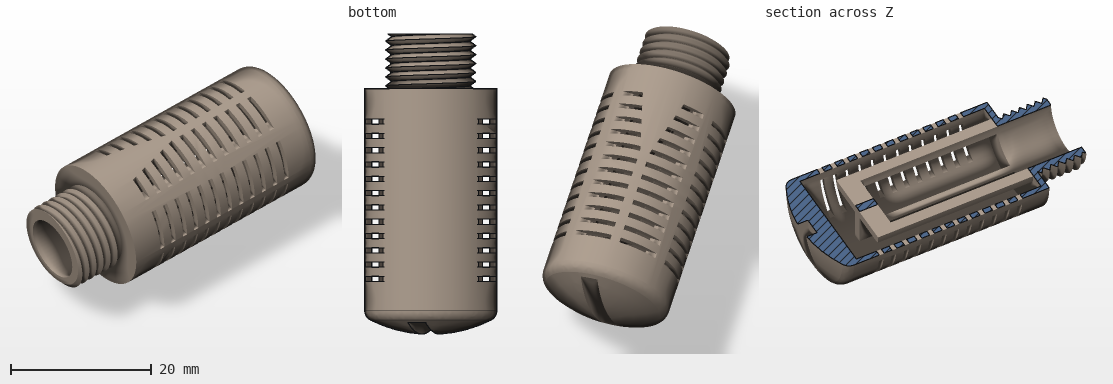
import cadquery as cq
import math

total_length = 42.65
body_diameter = 18.8
wall = 0.95
body_radius = body_diameter / 2
chamber_radius = body_radius - wall

body_start = 7.75
chamber_start = body_start + wall
chamber_end = 38.38

dome_radius = 18.97
dome_edge_fillet = 1.58
driver_slot_width = 2.55
dome_top = total_length + dome_radius - math.sqrt(dome_radius**2 - (driver_slot_width / 2)**2)
dome_edge = dome_top - dome_radius + math.sqrt(dome_radius**2 - body_radius**2)
driver_slot_depth = 1.65
driver_slot_angle = 15.0

bore_radius = 4.55
tube_radius = 6.25
bore_end = 30.75
tube_end = 33.7

thread_crest_radius = 6.4
thread_root_radius = 5.6
five_turn_advance = 6.35
thread_pitch = five_turn_advance / 5
thread_crest_start = 0.065
thread_overlap = 0.1
thread_gap = 0.05
thread_turns = 8

half_bar = 0.7
opening_tiers = [(-6.5, -1.35), (-0.1, 5.85), (7.2, body_radius)]
slot_height = 0.72
slot_rows = 12
first_slot = 12.45
last_slot = 34.8
slot_pitch = (last_slot - first_slot) / (slot_rows - 1)

wedge_tip = 23.45
wedge_half_angle = 15.0


def cylinder(radius, start, end):
    """Solid cylinder about Y between two positions."""
    return cq.Workplane("XZ", origin=(0, start, 0)).circle(radius).extrude(start - end)


def block(x_range, y_range, z_range):
    """Box between the given limits."""
    limits = (x_range, y_range, z_range)
    sizes = [high - low for low, high in limits]
    lows = [low for low, _ in limits]
    return cq.Workplane("XY").box(*sizes, centered=False).translate(tuple(lows))


def openings(start, end):
    """Every gap of the bar grid, as blocks running along Y."""
    gaps = cq.Workplane("XY")
    for z_range in opening_tiers:
        for x_range in ((half_bar, body_radius), (-body_radius, -half_bar)):
            gaps = gaps.add(block(x_range, (start, end), z_range))
    return gaps.combine()


def make_shell():
    """Domed, slotted outer shell with an empty chamber."""
    shell = (
        cq.Workplane("XY")
        .moveTo(0, body_start)
        .lineTo(body_radius, body_start)
        .lineTo(body_radius, dome_edge)
        .radiusArc((0, dome_top), -dome_radius)
        .close()
        .revolve(360, (0, 0, 0), (0, 1, 0))
    )
    shell = shell.edges(cq.selectors.BoxSelector(
        (-body_diameter, dome_edge - wall / 2, -body_diameter),
        (body_diameter, dome_edge + wall / 2, body_diameter),
    )).fillet(dome_edge_fillet)
    shell = shell.cut(cylinder(chamber_radius, chamber_start, chamber_end))
    driver_slot = block(
        (-driver_slot_width / 2, driver_slot_width / 2),
        (total_length - driver_slot_depth, dome_top),
        (-body_radius, body_radius),
    ).rotate((0, 0, 0), (0, 1, 0), driver_slot_angle)
    shell = shell.cut(driver_slot)
    for row in range(slot_rows):
        middle = first_slot + row * slot_pitch
        shell = shell.cut(openings(middle - slot_height / 2, middle + slot_height / 2))
    return shell


def make_tube():
    """Solid core of the inner tube, before boring, whose wall and end plate are cut back to the bar grid."""
    return cylinder(tube_radius, chamber_start, tube_end).cut(openings(chamber_start, tube_end))


def make_wedge():
    """Wedge widening toward the neck, reaching the outer face of the shell."""
    length = wedge_tip - chamber_start
    half_width = length * math.tan(math.radians(wedge_half_angle))
    wedge = (
        cq.Workplane("XY")
        .polyline([(0, wedge_tip), (-half_width, chamber_start), (half_width, chamber_start)])
        .close()
        .extrude(body_radius)
    )
    return wedge.intersect(cylinder(body_radius, chamber_start, wedge_tip))


def make_neck():
    """Neck core with a helical ridge of triangular section, with its root set in the shell floor."""
    ridge_half = (thread_pitch - thread_gap) / 2
    flank_slope = ridge_half / (thread_crest_radius - thread_root_radius)
    inner_radius = thread_root_radius - thread_overlap
    base_half = ridge_half + thread_overlap * flank_slope
    helix = cq.Wire.makeHelix(thread_pitch, thread_pitch * thread_turns, thread_root_radius)
    ridge = (
        cq.Workplane("XZ")
        .polyline([(inner_radius, -base_half), (thread_crest_radius, 0), (inner_radius, base_half)])
        .close()
        .sweep(cq.Workplane(helix), isFrenet=True)
    )
    ridge = ridge.rotate((0, 0, 0), (1, 0, 0), -90).rotate((0, 0, 0), (0, 1, 0), -90)
    ridge = ridge.translate((0, thread_crest_start - thread_pitch, 0))
    neck_end = body_start + wall / 2
    ridge = ridge.intersect(cylinder(body_radius, 0, neck_end))
    return cylinder(thread_root_radius, 0, neck_end).union(ridge)


result = make_shell().union(make_tube()).union(make_wedge()).union(make_neck())
result = result.cut(cylinder(bore_radius, 0, bore_end))